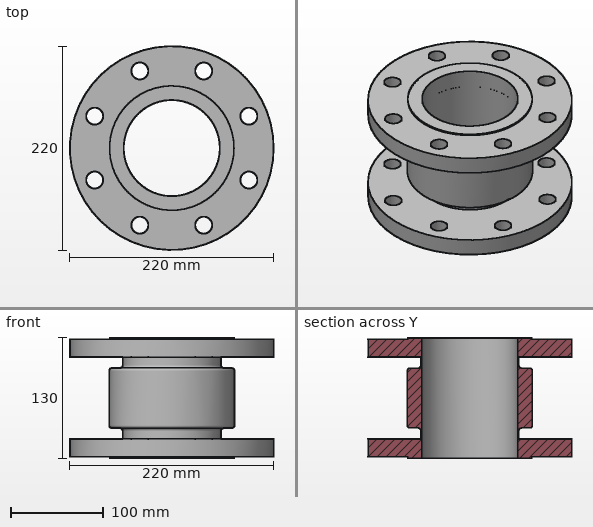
import cadquery as cq

flange_diameter = 220.0
total_height = 130.0

raised_face_diameter = 134.2
raised_face_height = 1.5
flange_thickness = 19.4

bolt_count = 8
bolt_circle_diameter = 180.0
bolt_hole_diameter = 18.0
first_bolt_angle = 360 / bolt_count / 2

neck_diameter = 106.3
body_diameter = 135.5
body_height = 65.0
shoulder_radius = 3.0
bore_diameter = 103.5

flange_outer_z = total_height / 2 - raised_face_height


def centred_cylinder(diameter, height):
    """Cylinder on the Z axis, centred on the origin."""
    return cq.Workplane("XY").circle(diameter / 2).extrude(height).translate((0, 0, -height / 2))


def make_barrel():
    """Neck and body, with equal rounds at the body rims and where the body meets the neck."""
    neck = centred_cylinder(neck_diameter, 2 * flange_outer_z)
    barrel = neck.union(centred_cylinder(body_diameter, body_height))
    shoulder_edges = barrel.edges("%CIRCLE").edges("not (<Z or >Z)")
    return shoulder_edges.fillet(shoulder_radius)


def make_top_flange():
    """Flange disc with its raised face and ring of bolt holes."""
    flange = (
        cq.Workplane("XY", origin=(0, 0, flange_outer_z))
        .circle(flange_diameter / 2)
        .extrude(-flange_thickness)
    )
    flange = (
        flange.faces(">Z")
        .workplane()
        .polarArray(bolt_circle_diameter / 2, first_bolt_angle, 360, bolt_count)
        .hole(bolt_hole_diameter)
    )
    return flange.faces(">Z").workplane().circle(raised_face_diameter / 2).extrude(raised_face_height)


top_flange = make_top_flange()
bottom_flange = top_flange.mirror("XY")
bore = centred_cylinder(bore_diameter, total_height)

result = make_barrel().union(top_flange).union(bottom_flange).cut(bore)